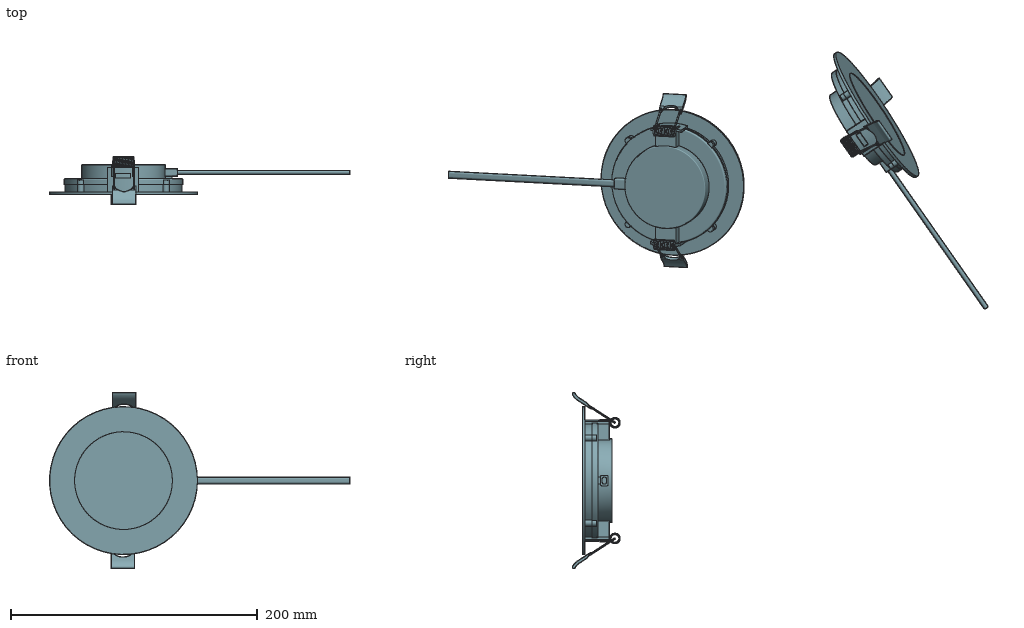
import cadquery as cq
import math


BEZEL_RADIUS = 60.0
BEZEL_THICKNESS = 2.2
BARREL_RADIUS = 47.5
BARREL_BACK = 8.0

DIFFUSER_RADIUS = 79.3 / 2
DIFFUSER_SETBACK = 0.5
DIFFUSER_THICKNESS = 2.0
DIFFUSER_BACK = DIFFUSER_SETBACK + DIFFUSER_THICKNESS

RIM_RADIUS = 48.2
RIM_BACK = 12.9
RIM_FILLET = 1.2
DRUM_RADIUS = 34.0
DRUM_BACK = 24.2
DRUM_FILLET = 0.7

BOSS_RADIUS = 2.6
BOSS_CIRCLE_RADIUS = 48.8
BOSS_ANGLES = (45, 135, 225, 315)
BOSS_BACK = RIM_BACK - RIM_FILLET

POST_WIDTH = 25.2
POST_OFFSET_X = -0.4
POST_INNER_RADIUS = BARREL_RADIUS
POST_OUTER_RADIUS = 49.3
POST_BACK = 22.0
SLOT_WIDTH = 11.8
SLOT_HEIGHT = 3.9
SLOT_CENTER_Y = 15.25
WEB_WIDTH = 17.0

CABLE_END_X = 183.5
CABLE_WIDTH = 5.8
CABLE_THICKNESS = 3.6
CABLE_CENTER_Y = 17.9
RELIEF_END_X = 43.6
RELIEF_WIDTH = 8.5
RELIEF_THICKNESS = 6.3
RELIEF_FILLET = 1.2
RELIEF_FOOT_END_X = 39.4

WIRE_DIAMETER = 1.1
WIRE_RADIUS = WIRE_DIAMETER / 2
COIL_PITCH = 1.2
COIL_TURNS = 14
COIL_LENGTH = COIL_PITCH * COIL_TURNS
COIL_RADIUS = 3.7
COIL_Y = 26.5
COIL_Z = 46.9
ARM_ANGLE = math.radians(32.9)
ARM_SPACING = 16.2
CLIP_OFFSET_X = 0.45
LEG_SPACING = 17.2
LEG_OFFSET_X = -0.6
LEG_END_Y = 14.5
LEG_RISE = 2.2
LEG_Z = COIL_Z + LEG_RISE
LEG_COIL_Y = COIL_Y - math.sqrt(COIL_RADIUS**2 - LEG_RISE**2)
PAD_WIDTH = 19.0
PAD_THICKNESS = 2.4
PAD_START = 22.6
PAD_WEDGE = 5.2
PAD_BEND_START = 35.3
PAD_SCALLOP_RADIUS = 7.6
PAD_SCALLOP_DEPTH = 6.8
PAD_FRONT_Y = -8.09
PAD_OUTER_Z = 142.75 / 2
PAD_TIP_Y = PAD_FRONT_Y + PAD_THICKNESS / 2
PAD_TIP_Z = PAD_OUTER_Z - PAD_THICKNESS / 2


def disc(radius, front, back):
    """Round disc about the lamp axis, from Y = front to Y = back."""
    return cq.Workplane("XZ").workplane(offset=-back).circle(radius).extrude(back - front)


def opposite(body):
    """The same body turned half way round the lamp axis."""
    return body.rotate((0, 0, 0), (0, 1, 0), 180)


def bosses(front, back):
    """Screw bosses on the four diagonals."""
    points = [
        (
            BOSS_CIRCLE_RADIUS * math.cos(math.radians(angle)),
            BOSS_CIRCLE_RADIUS * math.sin(math.radians(angle)),
        )
        for angle in BOSS_ANGLES
    ]
    plane = cq.Workplane("XZ").workplane(offset=-back)
    return plane.pushPoints(points).circle(BOSS_RADIUS).extrude(back - front)


def upper_slab(width, offset_x, front, back):
    """Block of a given width from the lamp axis past the outer face of the +Z post."""
    return (
        cq.Workplane("XY")
        .box(width, back - front, 2 * POST_OUTER_RADIUS, centered=(True, False, False))
        .translate((offset_x, front, 0))
    )


def upper_post():
    """Curved spring post on the +Z side, rising from the bezel."""
    ring = disc(POST_OUTER_RADIUS, 0, POST_BACK).cut(disc(POST_INNER_RADIUS, 0, POST_BACK))
    return ring.intersect(upper_slab(POST_WIDTH, POST_OFFSET_X, BEZEL_THICKNESS, POST_BACK))


def post_slot():
    """Rectangular slot through the +Z post."""
    slot_front = SLOT_CENTER_Y - SLOT_HEIGHT / 2
    return upper_slab(SLOT_WIDTH, POST_OFFSET_X, slot_front, slot_front + SLOT_HEIGHT)


def upper_web():
    """Web of the cover between the drum and the +Z post."""
    slab = upper_slab(WEB_WIDTH, 0, BARREL_BACK, POST_BACK)
    return slab.intersect(disc(POST_INNER_RADIUS, BARREL_BACK, POST_BACK))


def upper_spring_legs():
    """Wire legs that lie along the outer face of the +Z post."""
    legs_x = [LEG_OFFSET_X - LEG_SPACING / 2, LEG_OFFSET_X + LEG_SPACING / 2]
    plane = cq.Workplane("XZ").workplane(offset=-LEG_COIL_Y)
    return plane.pushPoints([(x, LEG_Z) for x in legs_x]).circle(WIRE_RADIUS).extrude(LEG_COIL_Y - LEG_END_Y)


def make_frame():
    frame = disc(BEZEL_RADIUS, 0, BEZEL_THICKNESS).union(disc(BARREL_RADIUS, 0, BARREL_BACK))
    frame = frame.union(bosses(BEZEL_THICKNESS, BARREL_BACK))
    post = upper_post().cut(post_slot()).cut(upper_spring_legs())
    frame = frame.union(post).union(opposite(post))
    return frame.cut(disc(DIFFUSER_RADIUS, 0, DIFFUSER_BACK))


def make_diffuser():
    return disc(DIFFUSER_RADIUS, DIFFUSER_SETBACK, DIFFUSER_BACK)


def make_cover():
    rim = disc(RIM_RADIUS, BARREL_BACK, RIM_BACK).faces(">Y").edges().fillet(RIM_FILLET)
    drum = disc(DRUM_RADIUS, BARREL_BACK, DRUM_BACK).faces(">Y").edges().fillet(DRUM_FILLET)
    cover = rim.union(bosses(BARREL_BACK, BOSS_BACK))
    post = upper_post()
    web = upper_web()
    return cover.cut(post).cut(opposite(post)).union(drum).union(web).union(opposite(web))


def make_cable():
    """Flat cable with a rounded strain relief that butts against the drum."""
    cord = (
        cq.Workplane("YZ")
        .center(CABLE_CENTER_Y, 0)
        .slot2D(CABLE_WIDTH, CABLE_THICKNESS, 90)
        .extrude(CABLE_END_X)
    )
    relief = (
        cq.Workplane("YZ")
        .center(CABLE_CENTER_Y, 0)
        .rect(RELIEF_THICKNESS, RELIEF_WIDTH)
        .extrude(RELIEF_END_X)
        .edges("|X")
        .fillet(RELIEF_FILLET)
    )
    foot_height = CABLE_CENTER_Y - RIM_BACK
    foot = (
        cq.Workplane("YZ")
        .center(RIM_BACK + foot_height / 2, 0)
        .rect(foot_height, CABLE_WIDTH)
        .extrude(RELIEF_FOOT_END_X)
    )
    return cord.union(relief).union(foot).cut(disc(DRUM_RADIUS, 0, DRUM_BACK))


def along_arm(distance, rise=0.0):
    """(Y, Z) point at a distance from the coil axis along the arm and a rise to its outer side."""
    return (
        COIL_Y - distance * math.cos(ARM_ANGLE) + rise * math.sin(ARM_ANGLE),
        COIL_Z + distance * math.sin(ARM_ANGLE) + rise * math.cos(ARM_ANGLE),
    )


def make_pad():
    """Gripping pad: wedge start, straight stretch and an outward bend with a rounded tip."""
    half = PAD_THICKNESS / 2
    bend_y, bend_z = along_arm(PAD_BEND_START)
    chord_angle = math.atan2(PAD_TIP_Z - bend_z, bend_y - PAD_TIP_Y)
    turn = 2 * (chord_angle - ARM_ANGLE)
    chord = math.hypot(PAD_TIP_Z - bend_z, bend_y - PAD_TIP_Y)
    bend_radius = chord / (2 * math.sin(turn / 2))

    def on_bend(part_of_turn, rise):
        angle = turn * part_of_turn
        radius = bend_radius - rise
        return along_arm(PAD_BEND_START + radius * math.sin(angle), bend_radius - radius * math.cos(angle))

    tip_angle = ARM_ANGLE + turn
    tip_end = (PAD_TIP_Y - half * math.cos(tip_angle), PAD_TIP_Z + half * math.sin(tip_angle))
    pad = (
        cq.Workplane("YZ")
        .workplane(offset=CLIP_OFFSET_X - PAD_WIDTH / 2)
        .moveTo(*along_arm(PAD_START, -half))
        .lineTo(*along_arm(PAD_BEND_START, -half))
        .threePointArc(on_bend(0.5, -half), on_bend(1, -half))
        .threePointArc(tip_end, on_bend(1, half))
        .threePointArc(on_bend(0.5, half), along_arm(PAD_BEND_START, half))
        .lineTo(*along_arm(PAD_START + PAD_WEDGE, half))
        .close()
        .extrude(PAD_WIDTH)
    )
    scallop_y, scallop_z = along_arm(PAD_START + PAD_SCALLOP_DEPTH - PAD_SCALLOP_RADIUS)
    scallop_plane = cq.Plane(
        origin=(CLIP_OFFSET_X, scallop_y, scallop_z),
        xDir=(1, 0, 0),
        normal=(0, math.sin(ARM_ANGLE), math.cos(ARM_ANGLE)),
    )
    scallop = cq.Workplane(scallop_plane).circle(PAD_SCALLOP_RADIUS).extrude(2 * PAD_THICKNESS, both=True)
    return pad.cut(scallop)


def make_coil():
    """Helical coil whose two ends lie where the legs along the post leave it."""
    helix = cq.Wire.makeHelix(COIL_PITCH, COIL_LENGTH, COIL_RADIUS)
    section = cq.Workplane("XZ").center(COIL_RADIUS, 0).circle(WIRE_RADIUS)
    coil = section.sweep(cq.Workplane(helix), isFrenet=True).rotate((0, 0, 0), (0, 1, 0), 90)
    end_angle = math.degrees(math.atan2(LEG_COIL_Y - COIL_Y, -LEG_RISE))
    coil = coil.rotate((0, 0, 0), (1, 0, 0), end_angle)
    return coil.translate((-COIL_LENGTH / 2, COIL_Y, COIL_Z))


def make_arms():
    """Two straight wires from the coil axis into the pad."""
    arm_plane = cq.Plane(
        origin=(CLIP_OFFSET_X, COIL_Y, COIL_Z),
        xDir=(1, 0, 0),
        normal=(0, -math.cos(ARM_ANGLE), math.sin(ARM_ANGLE)),
    )
    arms_x = [(-ARM_SPACING / 2, 0), (ARM_SPACING / 2, 0)]
    return cq.Workplane(arm_plane).pushPoints(arms_x).circle(WIRE_RADIUS).extrude(PAD_BEND_START)


def make_upper_clip():
    return make_coil().union(make_arms()).union(upper_spring_legs()).union(make_pad())


cable = make_cable()
frame = make_frame()
diffuser = make_diffuser()
cover = make_cover()
upper_clip = make_upper_clip()
clips = [upper_clip, opposite(upper_clip)]

result = cq.Compound.makeCompound(
    [frame.val(), cover.val(), diffuser.val(), cable.val(), *[clip.val() for clip in clips]]
)